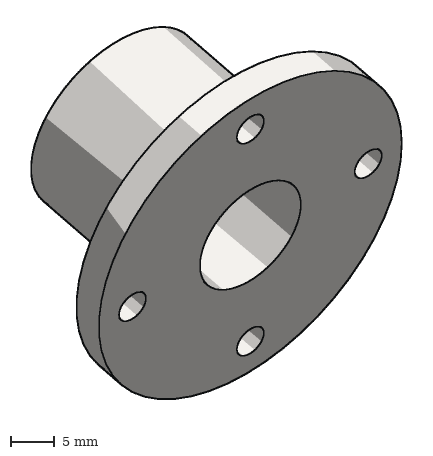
import cadquery as cq

flange_diameter = 45.0
flange_thickness = 4.0
total_length = 24.0
hub_diameter = 25.0
bore_diameter = 15.0
bolt_hole_diameter = 4.0
bolt_circle_diameter = 35.0
bolt_hole_count = 4

hub_length = total_length - flange_thickness

hub = cq.Workplane("YZ").circle(hub_diameter / 2).extrude(hub_length)
flange = (
    cq.Workplane("YZ", origin=(hub_length, 0, 0))
    .circle(flange_diameter / 2)
    .extrude(flange_thickness)
)

bore = cq.Workplane("YZ").circle(bore_diameter / 2).extrude(total_length)
bolt_holes = (
    cq.Workplane("YZ", origin=(hub_length, 0, 0))
    .polarArray(bolt_circle_diameter / 2, 0, 360, bolt_hole_count)
    .circle(bolt_hole_diameter / 2)
    .extrude(flange_thickness)
)

result = hub.union(flange).cut(bore).cut(bolt_holes)